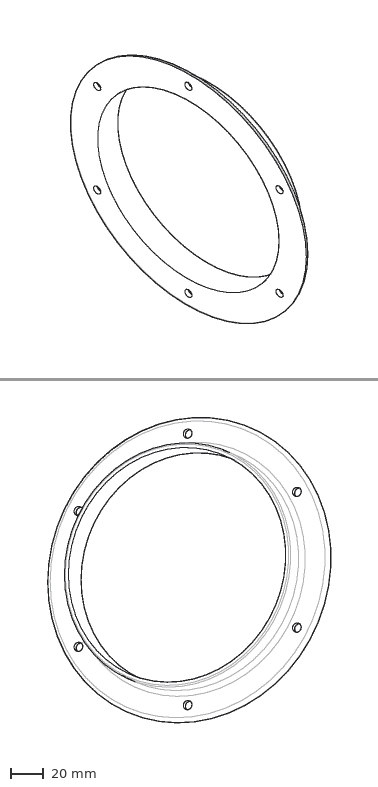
import cadquery as cq

flange_diameter = 190.5
flange_thickness = 3.2
total_depth = 19.0
collar_diameter = 152.4
bore_diameter = 146.3
root_fillet = 3.0
flange_edge_radius = 2.7
collar_edge_radius = 1.0
hole_count = 6
hole_circle_diameter = 170.0
hole_diameter = 5.7


def cylinder(diameter, depth):
    """Cylinder along +Y, starting on the flange face at Y = 0."""
    return cq.Workplane("XZ").circle(diameter / 2).extrude(-depth)


flange = cylinder(flange_diameter, flange_thickness)
flange = flange.faces(">Y").edges().fillet(flange_edge_radius)

collar = cylinder(collar_diameter, total_depth)
collar = collar.faces(">Y").edges().fillet(collar_edge_radius)

body = flange.union(collar)
half_size = (collar_diameter + flange_diameter) / 4
root_box = cq.selectors.BoxSelector(
    (-half_size, flange_thickness - root_fillet / 2, -half_size),
    (half_size, flange_thickness + root_fillet / 2, half_size),
)
root_circle = cq.selectors.RadiusNthSelector(0)
body = body.edges("%CIRCLE").edges(root_box).edges(root_circle).fillet(root_fillet)

bore = cylinder(bore_diameter, total_depth)
holes = (
    cq.Workplane("XZ")
    .polarArray(hole_circle_diameter / 2, 90, 360, hole_count)
    .circle(hole_diameter / 2)
    .extrude(-flange_thickness)
)

result = body.cut(bore).cut(holes)